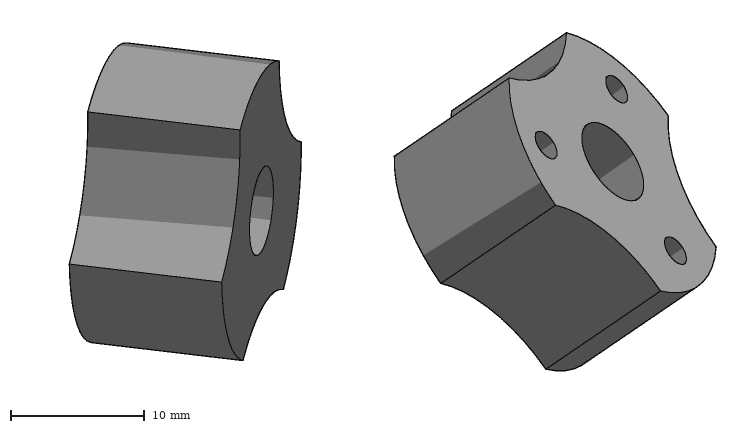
import cadquery as cq
import math

thickness = 11.83
outer_radius = 11.3
bore_diameter = 6.75
lobe_count = 3
lobe_angle = 93.0
lobe_half_angle = 29.5
scallop_depth_radius = 8.14
hole_diameter = 2.38
hole_circle_radius = 8.15
hole_depth = 10.0

lobe_pitch = 360 / lobe_count


def polar(radius, angle):
    """Point in the YZ plane at an angle measured from +Y towards +Z."""
    return (
        radius * math.cos(math.radians(angle)),
        radius * math.sin(math.radians(angle)),
    )


def lobe_angles():
    """Directions of the lobe centres."""
    return [lobe_angle + i * lobe_pitch for i in range(lobe_count)]


def make_body():
    """Prism along X: outer lobes alternating with concave scallops."""
    outline = cq.Workplane("YZ").moveTo(*polar(outer_radius, lobe_angle - lobe_half_angle))
    for angle in lobe_angles():
        lobe_end = polar(outer_radius, angle + lobe_half_angle)
        outline = outline.threePointArc(polar(outer_radius, angle), lobe_end)
        scallop_bottom = polar(scallop_depth_radius, angle + lobe_pitch / 2)
        next_lobe_start = polar(outer_radius, angle + lobe_pitch - lobe_half_angle)
        outline = outline.threePointArc(scallop_bottom, next_lobe_start)
    return outline.close().extrude(thickness)


def make_bore():
    """Central hole through the full thickness."""
    return cq.Workplane("YZ").circle(bore_diameter / 2).extrude(thickness)


def make_lobe_holes():
    """Blind holes, one per lobe, sunk from the face at X = 0."""
    centres = [polar(hole_circle_radius, angle) for angle in lobe_angles()]
    return cq.Workplane("YZ").pushPoints(centres).circle(hole_diameter / 2).extrude(hole_depth)


result = make_body().cut(make_bore()).cut(make_lobe_holes())